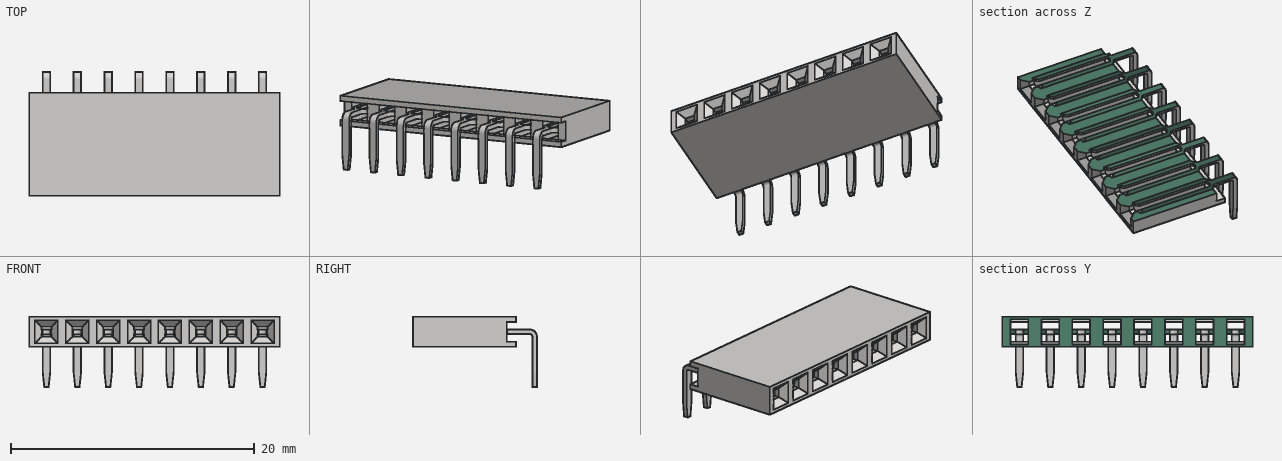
import cadquery as cq
import math


length = 20.62
depth = 8.5
height = 2.5
mid_z = height / 2

contact_count = 8
end_margin = 1.42
pitch = (length - 2 * end_margin) / (contact_count - 1)
contact_xs = [end_margin - length / 2 + i * pitch for i in range(contact_count)]

channel_depth = 0.76
channel_height = 1.6
channel_floor_y = depth - channel_depth

funnel_mouth = 1.9
throat_size = 0.8
funnel_depth = (funnel_mouth - throat_size) / 2
throat_length = 0.45
cavity_y = funnel_depth + throat_length
cavity_width = 1.45
cavity_height = 2.06

thickness = 0.4
stem_width = 0.64
stem_half_width = stem_width / 2
overall_depth = 10.2
overall_height = 5.8
leg_tip_z = height - overall_height
leg_tip_width = 0.37
taper_length = 1.24
bend_inner_radius = 0.2
bend_outer_radius = bend_inner_radius + thickness

fork_half_width = cavity_width / 2
slot_half_width = stem_half_width
slot_end_radius = 0.52
slot_end_y = channel_floor_y + 0.05
neck_radius = 0.33
neck_angle = math.radians(62)
neck_setback = 0.43
lead_in_width = 0.16
lead_in_length = 0.25
tip_clearance = 0.2
neck_y = channel_floor_y + neck_setback
tip_y = cavity_y + tip_clearance


def box(x, y_front, y_back, width, box_height):
    """Block centred on x and on the housing mid height."""
    size_y = y_back - y_front
    return cq.Workplane("XY").box(width, size_y, box_height).translate((x, y_front + size_y / 2, mid_z))


def make_funnel(x):
    """Square funnel that narrows from the mating face to the throat."""
    return (
        cq.Workplane("XZ", origin=(x, 0, mid_z))
        .rect(funnel_mouth, funnel_mouth)
        .workplane(offset=-funnel_depth)
        .rect(throat_size, throat_size)
        .loft(ruled=True)
    )


def make_housing():
    body = box(0, 0, depth, length, height)
    body = body.cut(box(0, channel_floor_y, depth, length, channel_height))
    for x in contact_xs:
        body = body.cut(make_funnel(x))
        body = body.cut(box(x, funnel_depth, cavity_y, throat_size, throat_size))
        body = body.cut(box(x, cavity_y, channel_floor_y, cavity_width, cavity_height))
    return body


def make_fork(x):
    """Flat two-tined fork whose slanted shoulders blend into the stem width."""
    def on_neck(angle):
        neck_x = stem_half_width + neck_radius * (1 - math.cos(angle))
        return (neck_x, neck_y - neck_radius * math.sin(angle))

    def mirrored(point):
        return (-point[0], point[1])

    neck_mid = on_neck(neck_angle / 2)
    neck_end = on_neck(neck_angle)
    shoulder = (fork_half_width, neck_end[1] - (fork_half_width - neck_end[0]) / math.tan(neck_angle))
    tip_outer = (fork_half_width, tip_y)
    tip_inner = (slot_half_width + lead_in_width, tip_y)
    lead_in_end = (slot_half_width, tip_y + lead_in_length)
    slot_end_center_y = slot_end_y - slot_end_radius
    slot_corner = (slot_half_width, slot_end_center_y + math.sqrt(slot_end_radius**2 - slot_half_width**2))
    return (
        cq.Workplane("XY", origin=(x, 0, mid_z - thickness / 2))
        .moveTo(stem_half_width, neck_y)
        .threePointArc(neck_mid, neck_end)
        .lineTo(*shoulder)
        .lineTo(*tip_outer)
        .lineTo(*tip_inner)
        .lineTo(*lead_in_end)
        .lineTo(*slot_corner)
        .threePointArc((0, slot_end_y), mirrored(slot_corner))
        .lineTo(*mirrored(lead_in_end))
        .lineTo(*mirrored(tip_inner))
        .lineTo(*mirrored(tip_outer))
        .lineTo(*mirrored(shoulder))
        .lineTo(*mirrored(neck_end))
        .threePointArc(mirrored(neck_mid), (-stem_half_width, neck_y))
        .close()
        .extrude(thickness)
    )


def make_bent_strip(x):
    """Stem and solder leg with a round bend between them."""
    stem_top = mid_z + thickness / 2
    stem_bottom = mid_z - thickness / 2
    leg_front = overall_depth - thickness
    diagonal = math.sqrt(0.5)
    bend_y = overall_depth - bend_outer_radius
    bend_z = stem_top - bend_outer_radius
    outer_mid = (bend_y + bend_outer_radius * diagonal, bend_z + bend_outer_radius * diagonal)
    inner_mid = (bend_y + bend_inner_radius * diagonal, bend_z + bend_inner_radius * diagonal)
    return (
        cq.Workplane("YZ", origin=(x, 0, 0))
        .moveTo(neck_y, stem_top)
        .lineTo(bend_y, stem_top)
        .threePointArc(outer_mid, (overall_depth, bend_z))
        .lineTo(overall_depth, leg_tip_z)
        .lineTo(leg_front, leg_tip_z)
        .lineTo(leg_front, bend_z)
        .threePointArc(inner_mid, (bend_y, stem_bottom))
        .lineTo(neck_y, stem_bottom)
        .close()
        .extrude(stem_half_width, both=True)
    )


def make_tip_waste(x):
    """Two wedges beside the leg tip; cutting them away tapers the leg."""
    tip_half_width = leg_tip_width / 2
    right_wedge = (
        cq.Workplane("XZ", origin=(0, overall_depth, 0))
        .moveTo(tip_half_width, leg_tip_z)
        .lineTo(stem_half_width, leg_tip_z)
        .lineTo(stem_half_width, leg_tip_z + taper_length)
        .close()
        .extrude(thickness)
    )
    return right_wedge.union(right_wedge.mirror("YZ")).translate((x, 0, 0))


def make_contact(x):
    return make_bent_strip(x).cut(make_tip_waste(x)).union(make_fork(x))


housing = make_housing()
contacts = [make_contact(x) for x in contact_xs]

result = cq.Compound.makeCompound([housing.val(), *[contact.val() for contact in contacts]])